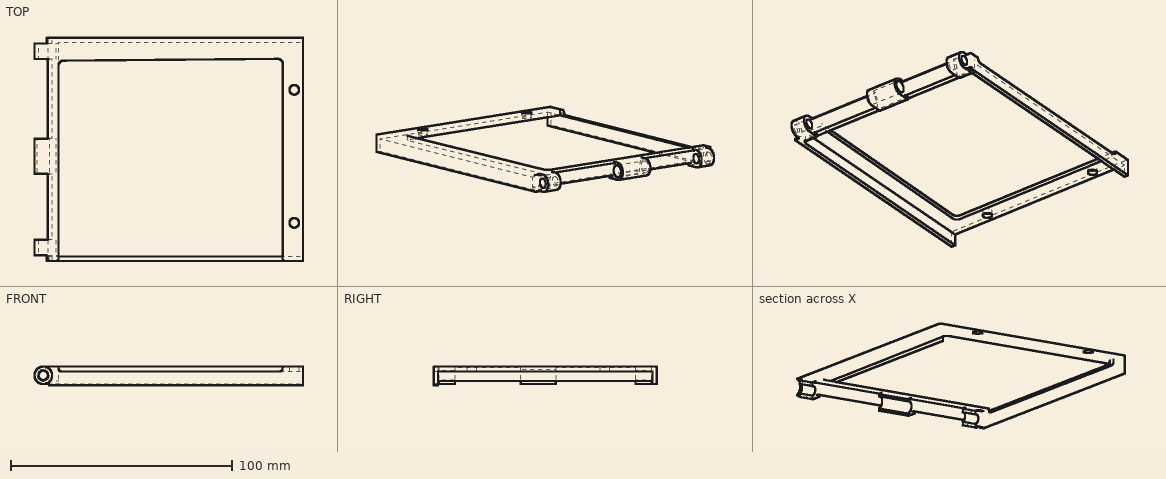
import cadquery as cq
import math

length = 121.5
width = 101.0
height = 8.5
skin = 2.3
wall = 2.1
edge_round = 0.5

barrel_radius = 4.0
pin_x = barrel_radius
pin_z = height - barrel_radius
lug_base_z = pin_z - barrel_radius
hollow_radius = barrel_radius

outer_lug_inset = 2.5
outer_lug_length = 7.2
middle_lug_start = 39.4
middle_lug_length = 15.9
outer_bore = 4.3
middle_bore = 5.5
front_lug_y = outer_lug_inset
back_lug_y = width - outer_lug_inset
lugs = [
    (front_lug_y, front_lug_y + outer_lug_length, outer_bore),
    (middle_lug_start, middle_lug_start + middle_lug_length, middle_bore),
    (back_lug_y - outer_lug_length, back_lug_y, outer_bore),
]
lug_root_round = 0.4
lug_root_x = 9.7

bar_lip_x = 6.0
cheek_lip_x = 5.6
cheek_lip_break = 0.2
foot_x = 6.6
bar_left = pin_x + hollow_radius
bar_base_z = 1.8

window_left = 10.9
window_right = 112.3
window_back_left = 90.5
window_back_right = 91.4
window_corner = 2.2
notch_corner = 1.7

screw_bore = 4.3
screw_inset = 4.0
screw_x = length - screw_inset
screw_ys = (17.3, 77.4)

margin = 0.06
clear = 2 * margin


def block(x0, x1, y0, y1, z0, z1):
    """Box between two opposite corners."""
    return cq.Workplane("XY", origin=(x0, y0, z0)).box(x1 - x0, y1 - y0, z1 - z0, centered=False)


def centred_in(x0, x1, y0, y1, z0, z1):
    """Selector for edges whose centre lies in a box."""
    return cq.selectors.BoxSelector(
        (x0 - margin, y0 - margin, z0 - margin),
        (x1 + margin, y1 + margin, z1 + margin),
    )


def hinge_cylinder(radius, y0, y1):
    """Cylinder around the pin axis from y0 to y1."""
    return cq.Workplane("XZ", origin=(pin_x, y0, pin_z)).circle(radius).extrude(y0 - y1)


def lug(y0, y1):
    """Barrel section with a flat-topped root running into the left bar."""
    root = block(pin_x, lug_root_x, y0, y1, lug_base_z, height)
    return hinge_cylinder(barrel_radius, y0, y1).union(root)


def hollow_flare(inward):
    """Rounded mouth of the hollow at y = 0, narrowing along +Y or -Y (inward = 1 or -1)."""
    mouth_radius = hollow_radius + edge_round
    arc_offset = edge_round * (1 - math.sqrt(0.5))
    profile = (
        cq.Workplane("XY")
        .lineTo(mouth_radius, 0)
        .threePointArc(
            (hollow_radius + arc_offset, inward * arc_offset),
            (hollow_radius, inward * edge_round),
        )
        .lineTo(0, inward * edge_round)
        .close()
    )
    return profile.revolve(360, (0, 0), (0, 1)).translate((pin_x, 0, pin_z))


def window_cutter():
    """Opening through the full height behind the front wall, with rounded back corners."""
    outline = [
        (window_left, wall),
        (window_right, wall),
        (window_right, window_back_right),
        (window_left, window_back_left),
    ]
    opening = cq.Workplane("XY").polyline(outline).close().extrude(height)
    back_corners = centred_in(window_left, window_right, window_back_left, window_back_right, 0, height)
    return opening.edges("|Z").edges(back_corners).fillet(window_corner)


def notch_cutter():
    """Lowering of the front wall across the window, with rounded lower corners."""
    notch = block(window_left, window_right, 0, wall, height - skin, height)
    return notch.edges("|Y and <Z").fillet(notch_corner)


frame = block(bar_lip_x, length, front_lug_y, back_lug_y, height - skin, height)
frame = frame.union(block(bar_left, length, 0, width, height - skin, height))

frame = frame.union(block(foot_x, length, 0, wall, 0, height))
frame = frame.union(block(bar_left, length, width - wall, width, lug_base_z, height))
for y0, y1 in ((0, front_lug_y), (back_lug_y, width)):
    frame = frame.union(block(cheek_lip_x, window_left, y0, y1, lug_base_z, height))

frame = frame.union(block(bar_lip_x, window_left, front_lug_y, back_lug_y, pin_z, height))
frame = frame.union(block(bar_left, window_left, front_lug_y, back_lug_y, bar_base_z, pin_z))
frame = frame.cut(hinge_cylinder(hollow_radius, 0, width))

frame = frame.cut(window_cutter()).cut(notch_cutter())

for y0, y1, bore in lugs:
    frame = frame.union(lug(y0, y1))
for y0, y1, bore in lugs:
    for side_y in (y0, y1):
        roots = centred_in(cheek_lip_x, bar_left, side_y, side_y, lug_base_z + clear, height)
        frame = frame.edges(roots).fillet(lug_root_round)

for y0, y1 in ((0, front_lug_y), (back_lug_y, width)):
    lip_min_x = cheek_lip_x - lug_root_round / 2
    cheek_lip = centred_in(lip_min_x, cheek_lip_x, y0 + clear, y1 - clear, height, height)
    frame = frame.edges(cheek_lip).chamfer(cheek_lip_break)

bar_lip = centred_in(cheek_lip_x, bar_lip_x, lugs[0][1], lugs[-1][0], height, height)
window_rim = centred_in(window_left, window_right, wall, window_back_right, height, height)
front_edge = centred_in(0, length, 0, 0, height, height)
back_edge = centred_in(0, length, width, width, height, height)
frame = frame.edges(bar_lip + window_rim + front_edge + back_edge).fillet(edge_round)

for y0, y1, bore in lugs:
    frame = frame.union(lug(y0, y1))
    frame = frame.cut(hinge_cylinder(bore / 2, y0, y1))

frame = frame.cut(hollow_flare(1))
frame = frame.cut(hollow_flare(-1).translate((0, width, 0)))

for y in screw_ys:
    frame = frame.cut(cq.Workplane("XY").center(screw_x, y).circle(screw_bore / 2).extrude(height))

result = frame